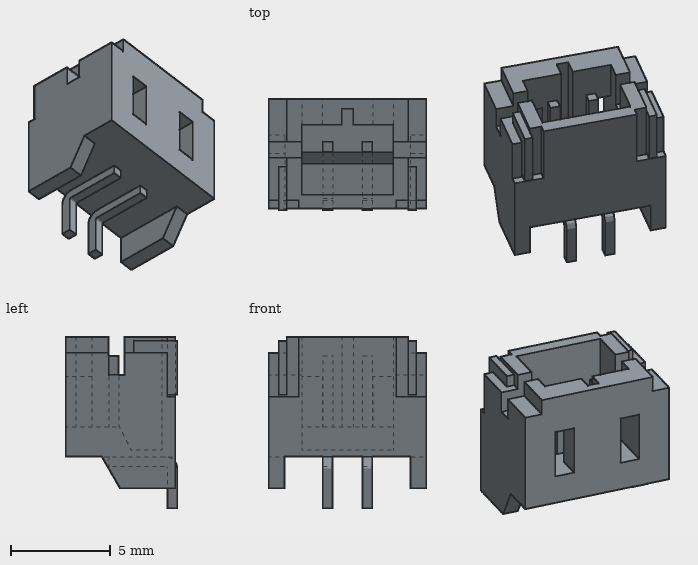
import cadquery as cq
import math

housing_width = 7.9
housing_depth = 5.5
top_z = 8.6
housing_bottom_z = 1.0
underside_z = 2.6
foot_width = 0.8
foot_slope_start_y = 2.78
foot_slope_angle = 30.0

shoulder_width = 0.9
shoulder_drop = 0.8
notch_width = 1.51
notch_depth = 0.4
notch_drop = 3.0
slot_front_y = 2.55
slot_back_y = 3.35
slot_drop = 1.9

cavity_width = 4.6
cavity_front_y = 0.7
cavity_back_y = 4.205
front_floor_z = 2.95
key_width = 0.6
key_depth = 0.8
floor_step_y = 2.24
floor_step_depth = 0.585
floor_step_height = 1.15
back_floor_z = front_floor_z + floor_step_height

window_width = 1.02
window_drop = 1.98

tab_thickness = 0.4
tab_overhang = 0.095
tab_back_y = 2.1
tab_top_z = 8.4
tab_bottom_z = 5.7

pin_pitch = 2.0
pin_size = 0.5
pin_top_z = 7.65
pin_front_y = slot_back_y - pin_size
bend_inner_radius = 0.1
bend_outer_radius = bend_inner_radius + pin_size


def box(x_min, x_max, y_min, y_max, z_min, z_max):
    """Axis-aligned box between the given limits."""
    size = (x_max - x_min, y_max - y_min, z_max - z_min)
    return cq.Workplane("XY").box(*size, centered=False).translate((x_min, y_min, z_min))


def extrude_side_profile(profile, width):
    """Extrude a YZ profile symmetrically about X = 0."""
    return profile.close().extrude(width / 2, both=True)


def make_block():
    """Housing block with sloped feet left at both sides of the raised underside."""
    slope_run = (underside_z - housing_bottom_z) * math.tan(math.radians(foot_slope_angle))
    profile = cq.Workplane("YZ").polyline([
        (0, housing_bottom_z),
        (foot_slope_start_y, housing_bottom_z),
        (foot_slope_start_y + slope_run, underside_z),
        (housing_depth, underside_z),
        (housing_depth, top_z),
        (0, top_z),
    ])
    block = extrude_side_profile(profile, housing_width)
    foot_gap = housing_width / 2 - foot_width
    return block.cut(box(-foot_gap, foot_gap, 0, housing_depth, housing_bottom_z, underside_z))


def make_cavity():
    """Open-topped cavity with a key groove and a sloped step up to the back floor."""
    profile = cq.Workplane("YZ").polyline([
        (cavity_front_y, front_floor_z),
        (floor_step_y, front_floor_z),
        (floor_step_y + floor_step_depth, back_floor_z),
        (cavity_back_y, back_floor_z),
        (cavity_back_y, top_z),
        (cavity_front_y, top_z),
    ])
    cavity = extrude_side_profile(profile, cavity_width)
    key = box(-key_width / 2, key_width / 2, cavity_back_y, cavity_back_y + key_depth,
              back_floor_z, top_z)
    return cavity.union(key)


def make_right_side_cuts():
    """Shoulder, front corner notch and side slot of the +X side."""
    side_x = housing_width / 2
    shoulder = box(side_x - shoulder_width, side_x, 0, housing_depth, top_z - shoulder_drop, top_z)
    notch = box(side_x - notch_width, side_x, 0, notch_depth, top_z - notch_drop, top_z)
    slot = box(cavity_width / 2, side_x, slot_front_y, slot_back_y, top_z - slot_drop, top_z)
    return shoulder.union(notch).union(slot)


def make_right_window():
    """Latch window through the back wall beside the +X cavity wall."""
    outer_x = cavity_width / 2
    return box(outer_x - window_width, outer_x, cavity_back_y, housing_depth,
               back_floor_z, top_z - window_drop)


def make_right_tab():
    """L-shaped tab lying on the +X shoulder and hanging down the corner notch."""
    inner_x = housing_width / 2 - shoulder_width
    outer_x = inner_x + tab_thickness
    arm = box(inner_x, outer_x, -tab_overhang, tab_back_y, top_z - shoulder_drop, tab_top_z)
    leg = box(inner_x, outer_x, -tab_overhang, notch_depth, tab_bottom_z, tab_top_z)
    return arm.union(leg)


def make_pin(x):
    """Square pin that drops through the floor, runs forward below it and bends down into a lead."""
    lead_front_y = -tab_overhang
    lead_back_y = lead_front_y + pin_size
    bend_y = lead_front_y + bend_outer_radius
    bend_z = underside_z - bend_outer_radius
    half_chord = math.sqrt(0.5)
    profile = (
        cq.Workplane("YZ")
        .moveTo(slot_back_y, pin_top_z)
        .lineTo(pin_front_y, pin_top_z)
        .lineTo(pin_front_y, underside_z)
        .lineTo(bend_y, underside_z)
        .threePointArc(
            (bend_y - bend_outer_radius * half_chord, bend_z + bend_outer_radius * half_chord),
            (lead_front_y, bend_z),
        )
        .lineTo(lead_front_y, 0)
        .lineTo(lead_back_y, 0)
        .lineTo(lead_back_y, bend_z)
        .threePointArc(
            (bend_y - bend_inner_radius * half_chord, bend_z + bend_inner_radius * half_chord),
            (bend_y, bend_z + bend_inner_radius),
        )
        .lineTo(slot_back_y, underside_z - pin_size)
    )
    return extrude_side_profile(profile, pin_size).translate((x, 0, 0))


result = make_block().cut(make_cavity())

side_cuts = make_right_side_cuts()
result = result.cut(side_cuts).cut(side_cuts.mirror("YZ"))

window = make_right_window()
result = result.cut(window).cut(window.mirror("YZ"))

tab = make_right_tab()
result = result.union(tab).union(tab.mirror("YZ"))

for pin_x in (-pin_pitch / 2, pin_pitch / 2):
    result = result.union(make_pin(pin_x))